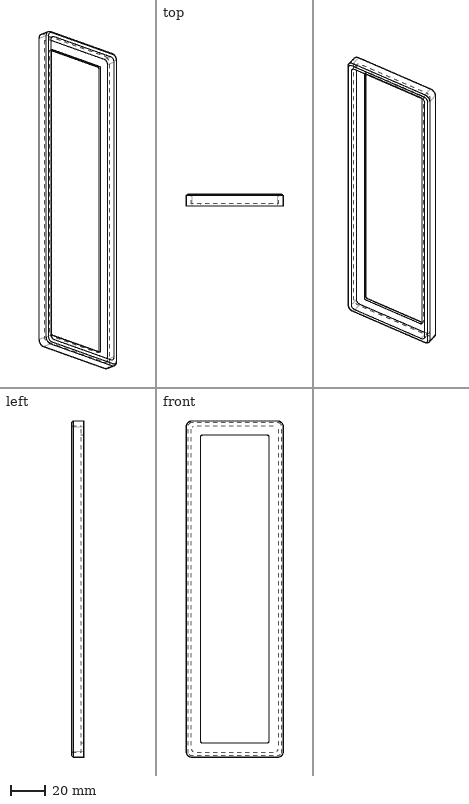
import cadquery as cq

width = 57.0
depth = 7.0
height = 197.0
corner_radius = 3.5
back_chamfer = 1.0

border = 8.5
window_radius = 1.0
lip_thickness = 1.5

wall = 3.0
recess_radius = corner_radius - back_chamfer


def rounded_block(inset, y_start, y_end, radius):
    """Block inset from the outer outline, with rounded corners along Y."""
    length = y_end - y_start
    return (
        cq.Workplane("XY")
        .box(width - 2 * inset, length, height - 2 * inset)
        .edges("|Y")
        .fillet(radius)
        .translate((0, (y_start + y_end) / 2, 0))
    )


front = -depth / 2
back = depth / 2

body = rounded_block(0, front, back, corner_radius).faces(">Y").edges().chamfer(back_chamfer)
window = rounded_block(border, front, back, window_radius)
recess = rounded_block(wall, front + lip_thickness, back, recess_radius)

result = body.cut(window).cut(recess)